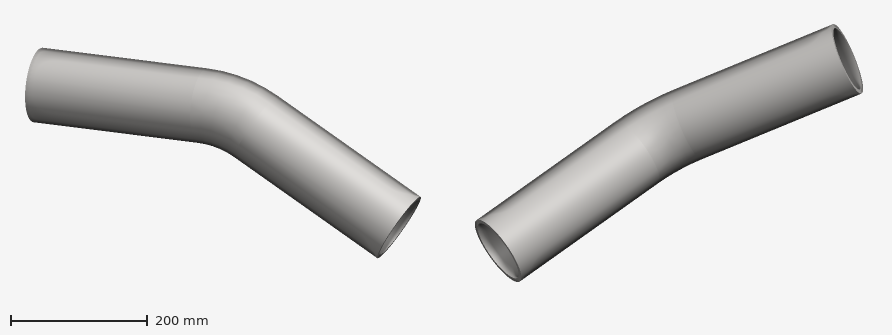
import cadquery as cq
import math

outer_diameter = 110.0
inner_diameter = 97.0

overall_length = 591.0
bend_angle = 30.0
bend_radius = 1.5 * outer_diameter

angle = math.radians(bend_angle)
outside_bend_radius = bend_radius + outer_diameter / 2
bend_span = outside_bend_radius * math.sin(angle)
leg_length = (overall_length - bend_span) / (1 + math.cos(angle))


def point_on_bend(turn):
    """Centreline point after turning by the given angle in radians, as (x, z)."""
    x = leg_length + bend_radius * math.sin(turn)
    z = -bend_radius * (1 - math.cos(turn))
    return x, z


bend_end_x, bend_end_z = point_on_bend(angle)
centreline = (
    cq.Workplane("XZ")
    .lineTo(leg_length, 0)
    .threePointArc(point_on_bend(angle / 2), (bend_end_x, bend_end_z))
    .lineTo(
        bend_end_x + leg_length * math.cos(angle),
        bend_end_z - leg_length * math.sin(angle),
    )
)

result = (
    cq.Workplane("YZ")
    .circle(outer_diameter / 2)
    .circle(inner_diameter / 2)
    .sweep(centreline)
)